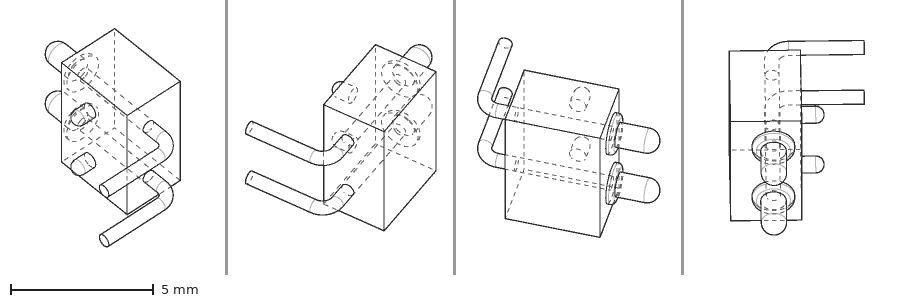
import cadquery as cq


overall_length = 6.75
overall_depth = 4.75

housing_length = 3.45
housing_depth = 2.5
housing_height = 5.0
housing_back = 1.5
housing_front = housing_back - housing_depth

contact_pitch = housing_height / 2
contact_heights = [-contact_pitch / 2, contact_pitch / 2]

peg_diameter = 0.6
peg_length = 0.8
peg_x = 1.5

plunger_diameter = 0.9
plunger_length = 1.5
flange_diameter = 1.5
flange_thickness = 0.25
flange_round = 0.15

lead_diameter = 0.5
bend_radius = 0.6
lead_axis_x = overall_length - plunger_length - flange_thickness - lead_diameter / 2
lead_end_y = housing_back - overall_depth


def make_peg(height):
    """Locating peg pointing to -Y with a hemispherical end."""
    radius = peg_diameter / 2
    shank_end = housing_front - (peg_length - radius)
    shank = (
        cq.Workplane("XZ", origin=(peg_x, housing_front, height))
        .circle(radius)
        .extrude(housing_front - shank_end)
    )
    dome = cq.Workplane("XY", origin=(peg_x, shank_end, height)).sphere(radius)
    return shank.union(dome)


def make_housing():
    """Block with a through hole for each lead and a locating peg at each contact height."""
    housing = (
        cq.Workplane("XY", origin=(0, housing_front, -housing_height / 2))
        .box(housing_length, housing_depth, housing_height, centered=False)
    )
    for height in contact_heights:
        lead_hole = (
            cq.Workplane("YZ", origin=(0, 0, height))
            .circle(lead_diameter / 2)
            .extrude(housing_length)
        )
        housing = housing.cut(lead_hole).union(make_peg(height))
    return housing


def make_head(height):
    """Round-edged flange against the housing, carrying a round-nosed plunger."""
    plunger_radius = plunger_diameter / 2
    flange_radius = flange_diameter / 2
    flange_face = -flange_thickness
    tip = flange_face - plunger_length
    nose_start = tip + plunger_radius
    profile = (
        cq.Workplane("XY", origin=(0, 0, height))
        .moveTo(0, 0)
        .lineTo(tip, 0)
        .radiusArc((nose_start, plunger_radius), plunger_radius)
        .lineTo(flange_face, plunger_radius)
        .lineTo(flange_face, flange_radius - flange_round)
        .radiusArc((flange_face + flange_round, flange_radius), flange_round)
        .lineTo(0, flange_radius)
        .close()
    )
    return profile.revolve(360, (0, 0, 0), (1, 0, 0))


def make_lead(height):
    """Round wire through the housing, then bent a quarter turn toward -Y."""
    path = (
        cq.Workplane("XY", origin=(0, 0, height))
        .lineTo(lead_axis_x - bend_radius, 0)
        .radiusArc((lead_axis_x, -bend_radius), bend_radius)
        .lineTo(lead_axis_x, lead_end_y)
    )
    return cq.Workplane("YZ", origin=(0, 0, height)).circle(lead_diameter / 2).sweep(path)


def make_contact(height):
    """One contact: plunger, flange and bent lead in a single solid."""
    return make_head(height).union(make_lead(height))


housing = make_housing()
contacts = [make_contact(height).val() for height in contact_heights]

result = cq.Compound.makeCompound([housing.val(), *contacts])